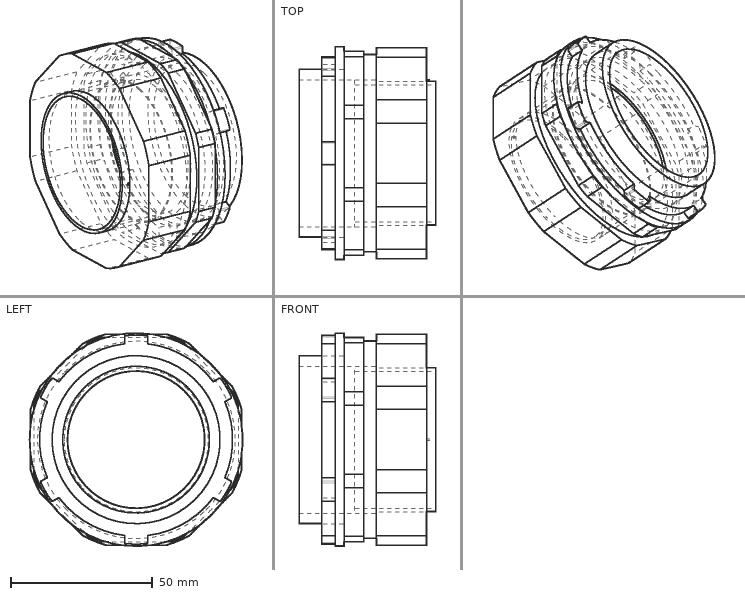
import cadquery as cq
import math


locknut_start = 8.0
locknut_end = 12.75
washer_end = 16.0
wrench_end = 23.0
nut_start = 27.4
nut_end = 45.2
ferrule_start = 19.5
ferrule_end = 48.5

spigot_diameter = 59.5
bore_diameter = 52.0
washer_diameter = 75.5
neck_diameter = 70.0
ferrule_diameter = 51.0
ferrule_bore = 48.5

locknut_diameter = 68.38
lug_tip_diameter = 74.0
lug_width = 8.2
lug_count = 6
lug_corner_radius = 0.45

octagon_sides = 8
wrench_flats = 72.4
wrench_corner_diameter = 76.4
nut_flats = 74.8
nut_corner_diameter = 77.8

nub_length = 0.6
nub_width = 0.6
nub_height = 0.5
nub_gap = 0.4


def cylinder(start, end, diameter):
    return cq.Workplane("YZ", origin=(start, 0, 0)).circle(diameter / 2).extrude(end - start)


def octagon(start, end, flats, corner_diameter):
    """Octagonal bar with flats square to Y and Z and its corners turned round."""
    across_corners = flats / math.cos(math.pi / octagon_sides)
    bar = (
        cq.Workplane("YZ", origin=(start, 0, 0))
        .transformed(rotate=(0, 0, 180 / octagon_sides))
        .polygon(octagon_sides, across_corners)
        .extrude(end - start)
    )
    return bar.intersect(cylinder(start, end, corner_diameter))


def make_body():
    spigot = cylinder(0, washer_end, spigot_diameter)
    wrench = octagon(washer_end, wrench_end, wrench_flats, wrench_corner_diameter)
    neck = cylinder(wrench_end, nut_start, neck_diameter)
    return spigot.union(wrench).union(neck).cut(cylinder(0, nut_start, bore_diameter))


def make_lug():
    """Lug pointing along +Z, cut round at the tip, with its two tip corners rounded."""
    block = (
        cq.Workplane("XY", origin=((locknut_start + locknut_end) / 2, 0, 0))
        .rect(locknut_end - locknut_start, lug_width)
        .extrude(lug_tip_diameter)
    )
    lug = block.intersect(cylinder(locknut_start, locknut_end, lug_tip_diameter))
    tip_corners = lug.faces(">Z").edges("|X")
    return tip_corners.fillet(lug_corner_radius)


def make_locknut():
    ring = cylinder(locknut_start, locknut_end, locknut_diameter)
    lug = make_lug()
    for i in range(lug_count):
        ring = ring.union(lug.rotate((0, 0, 0), (1, 0, 0), i * 360 / lug_count))
    return ring.cut(cylinder(locknut_start, locknut_end, spigot_diameter))


def make_washer():
    ring = cylinder(locknut_end, washer_end, washer_diameter)
    return ring.cut(cylinder(locknut_end, washer_end, spigot_diameter))


def make_nut():
    block = octagon(nut_start, nut_end, nut_flats, nut_corner_diameter)
    return block.cut(cylinder(nut_start, nut_end, ferrule_diameter))


def make_nub():
    """Small block standing on the +Y side of the ferrule tail, rooted in its wall."""
    middle = nut_end + nub_gap + nub_length / 2
    wall = (ferrule_diameter - ferrule_bore) / 2
    top = cq.Workplane("XZ", origin=(middle, ferrule_diameter / 2 + nub_height, 0))
    return top.rect(nub_length, nub_width).extrude(nub_height + wall / 2)


def make_ferrule():
    """Sleeve with a seat filling the body bore and a thinner tail."""
    bore_radius = ferrule_bore / 2
    seat_radius = bore_diameter / 2
    tail_radius = ferrule_diameter / 2
    half_section = [
        (ferrule_start, seat_radius),
        (nut_start, seat_radius),
        (nut_start, tail_radius),
        (ferrule_end, tail_radius),
        (ferrule_end, bore_radius),
        (ferrule_start, bore_radius),
    ]
    sleeve = cq.Workplane("XY").polyline(half_section).close().revolve(360, (0, 0, 0), (1, 0, 0))
    return sleeve.union(make_nub())


body = make_body()
locknut = make_locknut()
washer = make_washer()
nut = make_nut()
ferrule = make_ferrule()

result = cq.Compound.makeCompound([body.val(), locknut.val(), washer.val(), nut.val(), ferrule.val()])